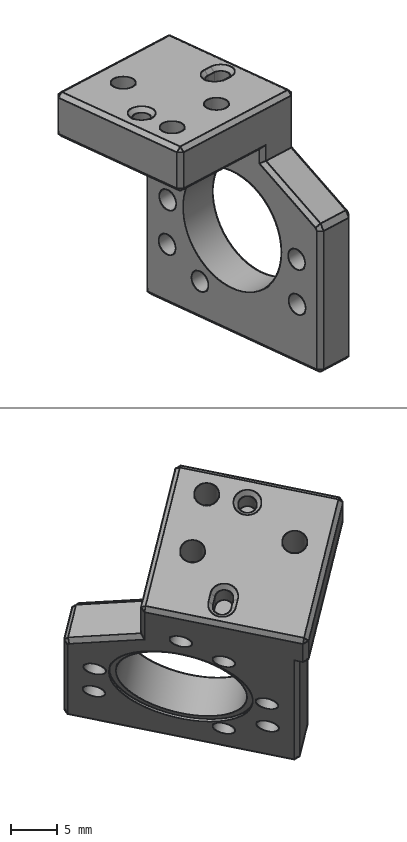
import cadquery as cq
import math

width = 27
depth = 18
height = 30
edge_chamfer = 0.5

plate_width = 18.5
plate_thickness = 5.5

wall_left = 1.0
wall_thickness = 5.0
shoulder_height = 23.05
slope_drop = 4.9

bore_diameter = 14.5
recess_diameter = 15.9
recess_depth = 0.3
bore_x = (wall_left + width) / 2
bore_z = 13.0
ring_hole_diameter = 2.5
inner_ring_radius = 9.5
inner_ring_angles = (0, 120, 180, 240)
outer_ring_radius = 11.07
outer_ring_angles = (90, 210, 330)

screw_diameter = 2.7
front_row_y = 3
screw_right_x = 14.5
screw_left_x = 4.0
screw_left_y = 6.5
screw_back_y = 10.0
screw_points = [(screw_right_x, front_row_y), (screw_right_x, screw_back_y), (screw_left_x, screw_left_y)]

pin_diameter = 2.0
pin_x = 10.0
slot_y = 15
slot_straight = 1.0
pin_depth = 3

pin_radius = pin_diameter / 2
mouth_radius = pin_radius + edge_chamfer
pocket_section = [
    (0, 0),
    (mouth_radius, 0),
    (pin_radius, -edge_chamfer),
    (pin_radius, -pin_depth),
    (0, -pin_depth),
]


def make_plate():
    plate = cq.Workplane("XY").box(plate_width, depth, plate_thickness, centered=False)
    plate = plate.edges().chamfer(edge_chamfer)
    return plate.translate((0, 0, height - plate_thickness))


def wall_plane():
    """Sketch plane on the back of the wall, facing forward."""
    return cq.Workplane("XZ", origin=(0, depth, 0))


def ring_holes(radius, angles):
    """Cylinders through the wall at the given angles around the bore axis."""
    points = []
    for angle in angles:
        turn = math.radians(angle)
        points.append((radius * math.cos(turn), radius * math.sin(turn)))
    sketch = wall_plane().center(bore_x, bore_z).pushPoints(points)
    return sketch.circle(ring_hole_diameter / 2).extrude(wall_thickness)


def make_wall():
    outline = [
        (wall_left, 0),
        (width, 0),
        (width, shoulder_height - slope_drop),
        (plate_width, shoulder_height),
        (plate_width, height),
        (wall_left, height),
    ]
    wall = wall_plane().polyline(outline).close().extrude(wall_thickness)
    shoulder = cq.selectors.BoxSelector(
        (plate_width - edge_chamfer, 0, shoulder_height - edge_chamfer),
        (plate_width + edge_chamfer, depth, shoulder_height + edge_chamfer),
    )
    return wall.edges(cq.selectors.InverseSelector(shoulder)).chamfer(edge_chamfer)


def screw_holes():
    sketch = cq.Workplane("XY", origin=(0, 0, height)).pushPoints(screw_points)
    return sketch.circle(screw_diameter / 2).extrude(-plate_thickness)


def pocket_end(y):
    """Round pocket centred at y."""
    section = cq.Workplane("XZ").polyline(pocket_section).close()
    return section.revolve(360, (0, 0), (0, 1)).translate((0, y, 0))


def pocket_middle(length):
    """Straight stretch between the two round ends of a slot."""
    half = cq.Workplane("XZ").polyline(pocket_section).close().extrude(length / 2, both=True)
    return half.union(half.mirror("YZ"))


def locating_pocket(y, straight):
    """Blind pocket with a bevelled mouth, stretched along Y by the straight length."""
    pocket = pocket_end(straight / 2)
    if straight > 0:
        pocket = pocket.union(pocket_end(-straight / 2)).union(pocket_middle(straight))
    return pocket.translate((pin_x, y, height))


def stepped_bore():
    bore = wall_plane().center(bore_x, bore_z).circle(bore_diameter / 2).extrude(wall_thickness)
    recess = wall_plane().center(bore_x, bore_z).circle(recess_diameter / 2).extrude(recess_depth)
    return bore.union(recess)


result = (
    make_plate()
    .union(make_wall())
    .cut(stepped_bore())
    .cut(ring_holes(inner_ring_radius, inner_ring_angles))
    .cut(ring_holes(outer_ring_radius, outer_ring_angles))
    .cut(screw_holes())
    .cut(locating_pocket(front_row_y, 0))
    .cut(locating_pocket(slot_y, slot_straight))
)